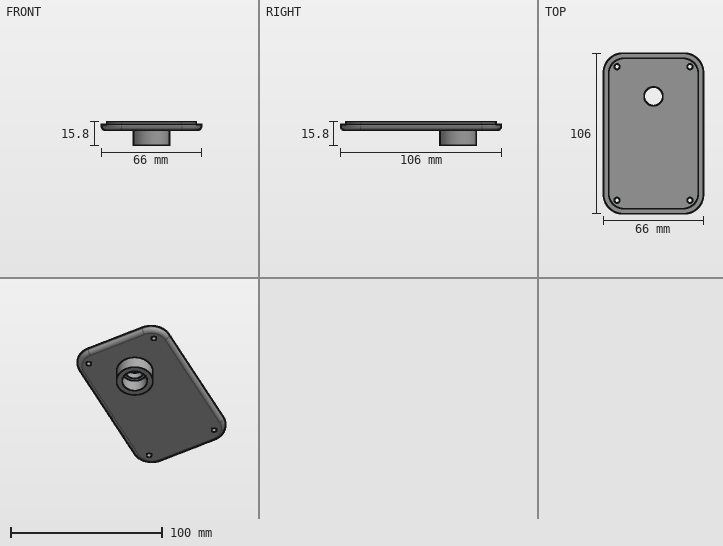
import cadquery as cq

length = 106.0
width = 66.0
plate_thickness = 4.0
plate_corner_radius = 13.0
edge_round = 3.0

rim_width = 3.5
lip_height = 1.8
lip_corner_radius = 10.0

boss_diameter = 24.0
boss_length = 10.0
boss_bore_diameter = 16.4
opening_diameter = 12.2
boss_y = 24.5

screw_hole_diameter = 3.4
screw_spacing_x = 48.0
screw_spacing_y = 88.0

lip_width = width - 2 * rim_width
lip_length = length - 2 * rim_width
slab_height = plate_thickness + lip_height
total_height = boss_length + slab_height


def rounded_slab(size_x, size_y, corner_radius, bottom, height):
    """Vertical slab with rounded corners, centred on the Z axis."""
    slab = cq.Workplane("XY").workplane(offset=bottom).rect(size_x, size_y).extrude(height)
    return slab.edges("|Z").fillet(corner_radius)


def cylinder(diameter, bottom, height):
    """Vertical cylinder on the boss axis."""
    return cq.Workplane("XY", origin=(0, boss_y, bottom)).circle(diameter / 2).extrude(height)


plate = rounded_slab(width, length, plate_corner_radius, 0, plate_thickness)
plate = plate.faces("<Z").edges().fillet(edge_round)

lip = rounded_slab(lip_width, lip_length, lip_corner_radius, plate_thickness, lip_height)
body = plate.union(lip)

body = body.union(cylinder(boss_diameter, -boss_length, boss_length))
body = body.cut(cylinder(boss_bore_diameter, -boss_length, boss_length))
body = body.cut(cylinder(opening_diameter, -boss_length, total_height))

screw_holes = (
    cq.Workplane("XY")
    .rarray(screw_spacing_x, screw_spacing_y, 2, 2)
    .circle(screw_hole_diameter / 2)
    .extrude(slab_height)
)
result = body.cut(screw_holes)